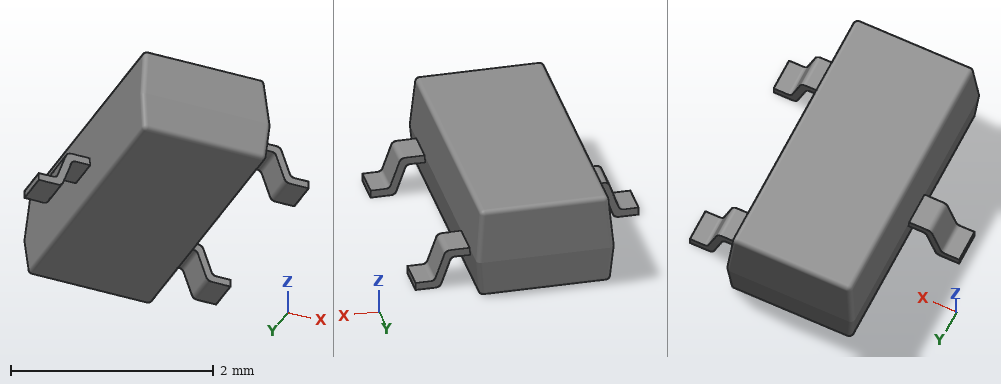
import cadquery as cq
import math

body_length = 2.9
body_width = 1.4
overall_width = 2.5
overall_height = 0.96
standoff = 0.012
parting_height = 0.41
draft_angle = 5.0
body_fillet = 0.05

lead_width = 0.35
lead_thickness = 0.08
lead_spacing = 1.9
foot_length = 0.19
leg_angle = 70.5
inner_bend_radius = 0.05
outer_bend_radius = 0.065
lead_embed = 0.087


def half_body(height):
    """Tapered half of the body, growing from the parting plane; negative height goes down."""
    return (
        cq.Workplane("XY")
        .rect(body_width, body_length)
        .extrude(height, taper=draft_angle)
    )


def make_body():
    upper = half_body(overall_height - parting_height)
    lower = half_body(standoff - parting_height)
    upper = upper.edges("not <Z").fillet(body_fillet)
    lower = lower.edges("not >Z").fillet(body_fillet)
    return upper.union(lower).translate((0, 0, parting_height))


def round_bends(strip, corners, y_center, radius):
    """Fillet the edges of the strip along Y that run through the given (x, z) corners."""
    for x, z in corners:
        bend_edge = cq.selectors.NearestToPointSelector((x, y_center, z))
        strip = strip.edges("|Y").edges(bend_edge).fillet(radius)
    return strip


def make_lead(y_center):
    """Lead on the +X side, centred on y_center, with its foot on Z = 0."""
    tip = overall_width / 2
    root = body_width / 2 - lead_embed
    leg_rise = parting_height - lead_thickness
    leg_run = leg_rise / math.tan(math.radians(leg_angle))
    corner_shift = lead_thickness * math.tan(math.radians(leg_angle / 2))

    foot_corner = tip - foot_length
    shoulder_corner = foot_corner - leg_run
    outline = [
        (root, parting_height),
        (shoulder_corner, parting_height),
        (foot_corner, lead_thickness),
        (tip, lead_thickness),
        (tip, 0),
        (foot_corner - corner_shift, 0),
        (shoulder_corner - corner_shift, leg_rise),
        (root, leg_rise),
    ]
    strip = (
        cq.Workplane("XZ", origin=(0, y_center, 0))
        .polyline(outline)
        .close()
        .extrude(lead_width / 2, both=True)
    )
    inner_bends = [(foot_corner, lead_thickness), (shoulder_corner - corner_shift, leg_rise)]
    outer_bends = [(shoulder_corner, parting_height), (foot_corner - corner_shift, 0)]
    strip = round_bends(strip, inner_bends, y_center, inner_bend_radius)
    return round_bends(strip, outer_bends, y_center, outer_bend_radius)


result = make_body()
for y_center in (-lead_spacing / 2, lead_spacing / 2):
    result = result.union(make_lead(y_center))
result = result.union(make_lead(0).mirror("YZ"))